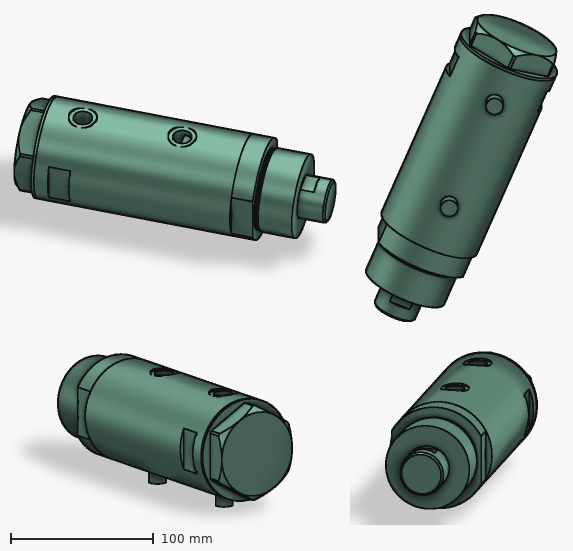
import cadquery as cq
import math


total_length = 221.5
body_radius = 36.5
bore_radius = 22.5
rod_radius = 15.5

flange_start = 14.2
housing_start = 16.2
housing_end = 158.4
flange_end = 174.0
nose_start = 177.2
nose_end = 201.5

hex_across_flats = 60.0
hex_corner_radius = 34.1
cap_spigot_end = 42.3

port_positions = (41.6, 113.9)
port_radius = 6.6
spotface_radius = 10.0
spotface_height = 35.2
stud_positions = (40.5, 122.3)
stud_radius = 6.0
stud_end_height = -45.0
housing_flat_start = 26.1
housing_flat_length = 15.5
housing_flat_distance = 33.5

gland_spigot_start = port_positions[1]
gland_spigot_radius = 31.7
gland_flat_distance = 32.1
nose_diameter = 60.0
nose_chamfer = 0.7
neck_radius = 29.2
neck_length = 1.0
groove_radius = 28.5

piston_length = 44.3
rod_flat_distance = 13.5
rod_flat_end = 211.5
rod_chamfer = 1.3

cut_margin = 2.2


def revolved(profile):
    """Revolve (x, radius) points, closed along the axis, about the X axis."""
    points = [(profile[0][0], 0), *profile, (profile[-1][0], 0)]
    return cq.Workplane("XZ").polyline(points).close().revolve(360, (0, 0), (1, 0))


def cylinder_x(radius, start, end):
    """Cylinder about the X axis."""
    return revolved([(start, radius), (end, radius)])


def cylinder_z(x, radius, bottom, top):
    """Cylinder parallel to Z, centred at the given X."""
    return cq.Workplane("XY", origin=(x, 0, bottom)).circle(radius).extrude(top - bottom)


def slab_x(start, end, size_y, size_z):
    """Block about the X axis, used to keep what lies between two parallel flats."""
    return cq.Workplane("YZ", origin=(start, 0, 0)).rect(size_y, size_z).extrude(end - start)


def cut_flats_y(body, start, end, distance):
    """Cut two parallel wrench flats, one on each Y side, at the given distance from the axis."""
    ring = cylinder_x(body_radius + cut_margin, start, end)
    return body.cut(ring.cut(slab_x(start, end, 2 * distance, 4 * body_radius)))


def make_cap():
    """Hex head with a 45 degree chamfer, a round flange and a spigot in the bore."""
    face_radius = hex_across_flats / 2
    chamfer = hex_corner_radius - face_radius
    hex_prism = (
        cq.Workplane("YZ")
        .polygon(6, hex_across_flats / math.cos(math.pi / 6))
        .extrude(flange_start)
        .rotate((0, 0, 0), (1, 0, 0), 90)
    )
    turned_blank = revolved(
        [(0, face_radius), (chamfer, hex_corner_radius), (flange_start, hex_corner_radius)]
    )
    round_part = revolved(
        [
            (flange_start, body_radius),
            (housing_start, body_radius),
            (housing_start, bore_radius),
            (cap_spigot_end, bore_radius),
        ]
    )
    return hex_prism.intersect(turned_blank).union(round_part)


def make_housing():
    """Barrel with two studs below, two ports above and two wrench flats."""
    housing = cylinder_x(body_radius, housing_start, housing_end)
    for x in stud_positions:
        housing = housing.union(cylinder_z(x, stud_radius, stud_end_height, 0))
    housing = housing.cut(cylinder_x(bore_radius, housing_start, housing_end))
    housing = housing.cut(cylinder_x(gland_spigot_radius, gland_spigot_start, housing_end))
    for x in port_positions:
        housing = housing.cut(cylinder_z(x, spotface_radius, spotface_height, body_radius))
        housing = housing.cut(cylinder_z(x, port_radius, 0, body_radius))
    flat_end = housing_flat_start + housing_flat_length
    return cut_flats_y(housing, housing_flat_start, flat_end, housing_flat_distance)


def make_gland():
    """Spigot, flange with wrench flats, neck with a sloped groove, and nose, bored for the rod."""
    nose_radius = nose_diameter / 2
    groove_depth = neck_radius - groove_radius
    groove_start = flange_end + neck_length
    gland = revolved(
        [
            (gland_spigot_start, gland_spigot_radius),
            (housing_end, gland_spigot_radius),
            (housing_end, body_radius),
            (flange_end, body_radius),
            (flange_end, neck_radius),
            (groove_start, neck_radius),
            (groove_start + groove_depth, groove_radius),
            (nose_start - nose_chamfer, groove_radius),
            (nose_start - nose_chamfer, nose_radius - nose_chamfer),
            (nose_start, nose_radius),
            (nose_end, nose_radius),
        ]
    )
    gland = gland.cut(cylinder_x(rod_radius, gland_spigot_start, nose_end))
    return cut_flats_y(gland, housing_end, flange_end, gland_flat_distance)


def make_rod():
    """Piston and rod in one piece, with a chamfered tip and two flats behind it."""
    piston_end = cap_spigot_end + piston_length
    rod = revolved(
        [
            (cap_spigot_end, bore_radius),
            (piston_end, bore_radius),
            (piston_end, rod_radius),
            (total_length - rod_chamfer, rod_radius),
            (total_length, rod_radius - rod_chamfer),
        ]
    )
    flat_ring = cylinder_x(rod_radius + cut_margin, nose_end, rod_flat_end).cut(
        slab_x(nose_end, rod_flat_end, 4 * rod_radius, 2 * rod_flat_distance)
    )
    return rod.cut(flat_ring)


cap = make_cap()
housing = make_housing()
gland = make_gland()
rod = make_rod()

result = cq.Compound.makeCompound([cap.val(), housing.val(), gland.val(), rod.val()])